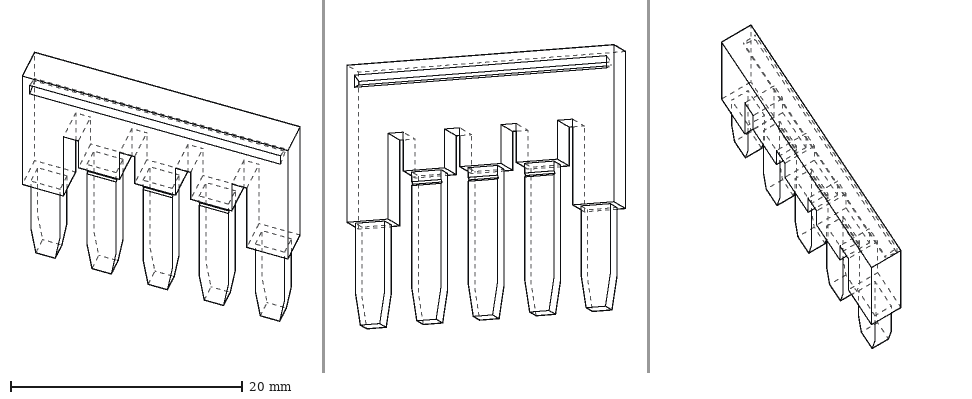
import cadquery as cq

length = 24.6
thickness = 3.0
height = 22.98
tooth_count = 5
tooth_width = 3.81
pitch = (length - tooth_width) / (tooth_count - 1)
web_bottom = -6.32
inner_tooth_bottom = -9.77
outer_tooth_bottom = -13.92

pin_width = 2.7
pin_depth = 1.67
pin_center_y = -0.02
tip_width = 1.8
taper_height = 2.9

slot_length = 23.22
slot_top = -0.93
slot_height = 1.08
slot_depth = 1.18
slot_ceiling_drop = 0.32
slot_floor_rise = 0.45

groove_top = -10.63
groove_height = 0.35
groove_depth = 0.25

front_y = -thickness / 2
pin_front_y = pin_center_y - pin_depth / 2
tooth_centers = [(i - (tooth_count - 1) / 2) * pitch for i in range(tooth_count)]
inner_centers = tooth_centers[1:-1]


def block(width, depth, top, bottom, x=0, y=0):
    """Upright box between two heights, centred on (x, y)."""
    return cq.Workplane("XY", origin=(x, y, (top + bottom) / 2)).box(width, depth, top - bottom)


def pin(x):
    """Flat contact pin with a tip narrowed in X, rooted inside the web."""
    half = pin_width / 2
    half_tip = tip_width / 2
    outline = [
        (-half, web_bottom),
        (half, web_bottom),
        (half, taper_height - height),
        (half_tip, -height),
        (-half_tip, -height),
        (-half, taper_height - height),
    ]
    return (
        cq.Workplane("XZ", origin=(x, pin_center_y, 0))
        .polyline(outline)
        .close()
        .extrude(pin_depth / 2, both=True)
    )


def profile_cut(points, width, x=0):
    """Prism of a (Y, Z) profile, centred on x."""
    return cq.Workplane("YZ", origin=(x, 0, 0)).polyline(points).close().extrude(width / 2, both=True)


result = block(length, thickness, 0, web_bottom)
for x in tooth_centers:
    bottom = inner_tooth_bottom if x in inner_centers else outer_tooth_bottom
    result = result.union(block(tooth_width, thickness, 0, bottom, x))
    result = result.union(pin(x))

slot_bottom = slot_top - slot_height
slot_back_y = front_y + slot_depth
slot_profile = [
    (front_y, slot_top),
    (slot_back_y, slot_top - slot_ceiling_drop),
    (slot_back_y, slot_bottom + slot_floor_rise),
    (front_y, slot_bottom),
]
result = result.cut(profile_cut(slot_profile, slot_length))

groove_profile = [
    (pin_front_y, groove_top),
    (pin_front_y + groove_depth, groove_top - groove_height / 2),
    (pin_front_y, groove_top - groove_height),
]
for x in inner_centers:
    result = result.cut(profile_cut(groove_profile, pin_width, x))